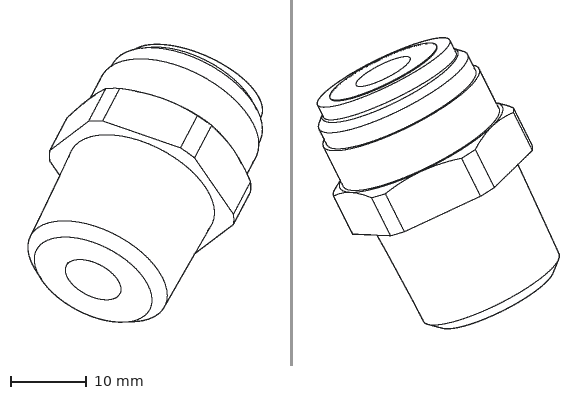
import cadquery as cq
import math

total_length = 34.3

bore_diameter = 8.0
nose_diameter = 16.9
thread_small_diameter = 20.03
thread_large_diameter = 20.95
nose_chamfer_length = 1.47

hex_start = 16.3
hex_end = 22.78
across_flats = 24.0
corner_diameter = 26.48
hex_chamfer_angle = 30.0

collar_diameter = 23.0
collar_end = 28.8
neck_diameter = 22.0
neck_end = 32.25
neck_chamfer = 1.0

ring_width = 19.5
ring_height = 15.95
ring_edge_height = 0.15
ring_edge_width = 15.7
ring_edge_rise = 13.93


def revolve_about_y(profile):
    """Solid of revolution about Y from (radius, y) points running from end to end."""
    points = [(0, profile[0][1])] + profile + [(0, profile[-1][1])]
    return cq.Workplane("XY").polyline(points).close().revolve(360, (0, 0), (0, 1))


def ellipse_at(y, width, height):
    """Ellipse in the XZ plane, to be extruded towards +Y."""
    return cq.Workplane("XZ", origin=(0, y, 0)).ellipse(width / 2, height / 2)


def make_thread_body():
    return revolve_about_y([
        (nose_diameter / 2, 0),
        (thread_small_diameter / 2, nose_chamfer_length),
        (thread_large_diameter / 2, hex_start),
    ])


def make_hexagon():
    """Hexagon with corners on X, its corners rounded and chamfered on the tube side."""
    sharp_corner_diameter = across_flats / math.cos(math.pi / 6)
    prism = (
        cq.Workplane("XZ", origin=(0, hex_start, 0))
        .polygon(6, sharp_corner_diameter)
        .extrude(hex_start - hex_end)
    )
    chamfer_width = (corner_diameter - across_flats) / 2
    chamfer_height = chamfer_width * math.tan(math.radians(hex_chamfer_angle))
    turned_envelope = revolve_about_y([
        (corner_diameter / 2, hex_start),
        (corner_diameter / 2, hex_end - chamfer_height),
        (across_flats / 2, hex_end),
    ])
    return prism.intersect(turned_envelope)


def make_tube_body():
    return revolve_about_y([
        (collar_diameter / 2, hex_end),
        (collar_diameter / 2, collar_end),
        (neck_diameter / 2, collar_end),
        (neck_diameter / 2, neck_end - neck_chamfer),
        (neck_diameter / 2 - neck_chamfer, neck_end),
    ])


def make_release_ring():
    """Oval ring with a low raised oval on its end face."""
    edge_start = total_length - ring_edge_height
    ring = ellipse_at(neck_end, ring_width, ring_height).extrude(neck_end - edge_start)
    edge = ellipse_at(edge_start, ring_edge_width, ring_edge_rise).extrude(-ring_edge_height)
    return ring.union(edge)


bore = cq.Workplane("XZ").circle(bore_diameter / 2).extrude(-total_length)

result = (
    make_thread_body()
    .union(make_hexagon())
    .union(make_tube_body())
    .union(make_release_ring())
    .cut(bore)
)